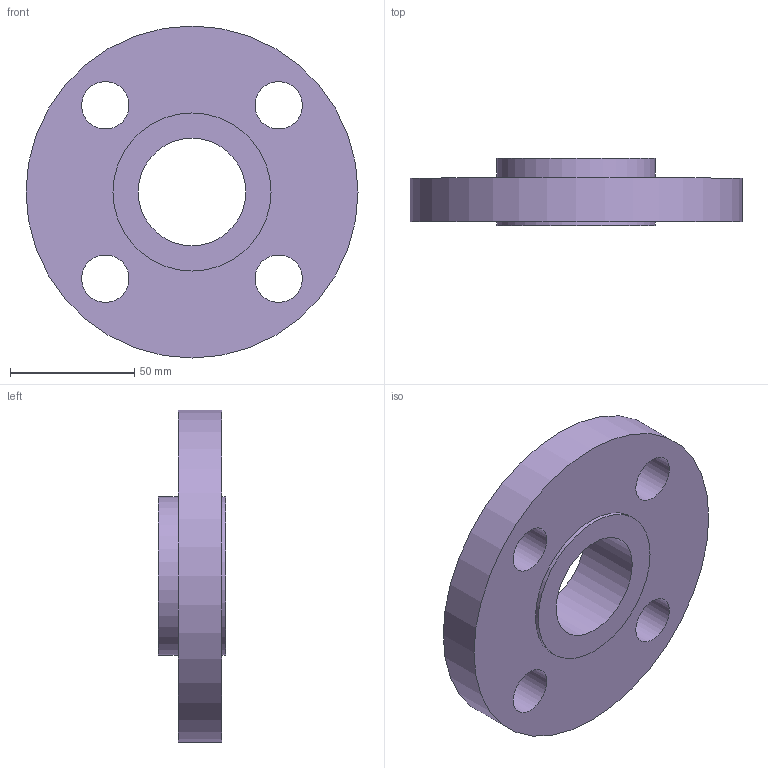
import cadquery as cq

flange_diameter = 133.35
flange_thickness = 17.4625
raised_face_diameter = 63.5
raised_face_height = 1.5875
hub_diameter = 63.5
hub_height = 7.9375
bore_diameter = 43.18
bolt_hole_diameter = 19.05
bolt_circle_diameter = 98.425
bolt_hole_count = 4
first_bolt_hole_angle = 45.0

flange_front = raised_face_height
flange_back = flange_front + flange_thickness
hub_end = flange_back + hub_height


def plane_at(y):
    """Workplane on the flange axis at the given Y, with its normal along +Y."""
    return cq.Workplane(cq.Plane(origin=(0, y, 0), xDir=(1, 0, 0), normal=(0, 1, 0)))


def disc(diameter, y_start, y_end):
    """Solid cylinder about the flange axis between two Y positions."""
    return plane_at(y_start).circle(diameter / 2).extrude(y_end - y_start)


def bolt_holes():
    """Cylinders that cut the evenly spaced bolt holes through the flange."""
    return (
        plane_at(flange_front)
        .polarArray(bolt_circle_diameter / 2, first_bolt_hole_angle, 360, bolt_hole_count)
        .circle(bolt_hole_diameter / 2)
        .extrude(flange_thickness)
    )


raised_face = disc(raised_face_diameter, 0, flange_front)
flange = disc(flange_diameter, flange_front, flange_back)
hub = disc(hub_diameter, flange_back, hub_end)
bore = disc(bore_diameter, 0, hub_end)

result = flange.union(raised_face).union(hub).cut(bore).cut(bolt_holes())